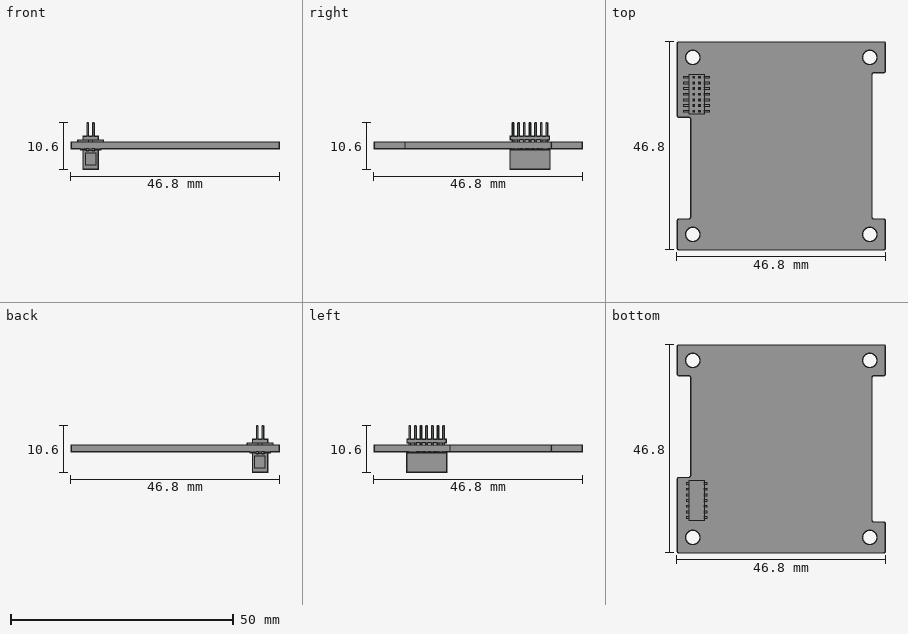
import cadquery as cq


overall_height = 10.55

board_side = 46.8
board_thickness = 1.6
corner_radius = 0.4
notch_depth = 3.0
tab_length = 6.95
connector_tab_length = 17.0
mount_hole_diameter = 3.2
mount_hole_spacing = 39.8

pin_row_length = 7.65
pins_per_row = 7
row_spacing = 1.25
pin_width = 0.4
connector_x = -19.05
connector_y = 11.6
body_width = 3.45

header_length = 8.9
header_gap = 0.4
header_height = 0.9
header_foot_span = 5.85
pin_top = 4.35
pin_tip_chamfer = 0.15

socket_length = 9.05
socket_gap = 0.2
channel_width = 1.83
channel_depth = 0.2
socket_foot_span = 4.6

core_width = 2.4
core_height = 2.6
core_floor = 1.05
core_shift = 0.05

peg_diameter = 1.05
peg_tip_diameter = 0.7
pitches_between_pegs = 5

pin_pitch = pin_row_length / (pins_per_row - 1)
peg_spacing = pitches_between_pegs * pin_pitch
half_side = board_side / 2
board_bottom = -board_thickness
socket_bottom = pin_top - overall_height
rail_top = board_bottom - socket_gap
channel_floor = rail_top - channel_depth
core_x = connector_x + core_shift
core_bottom = socket_bottom + core_floor
pin_ys = [connector_y + (i - (pins_per_row - 1) / 2) * pin_pitch for i in range(pins_per_row)]
peg_ys = [connector_y + side * peg_spacing / 2 for side in (-1, 1)]


def box(x_range, y_range, z_range):
    """Box between the given limits along each axis."""
    (x0, x1), (y0, y1), (z0, z1) = x_range, y_range, z_range
    return cq.Workplane("XY").box(x1 - x0, y1 - y0, z1 - z0, centered=False).translate((x0, y0, z0))


def about(centre, size):
    """Limits of a stretch of the given size around a centre."""
    return centre - size / 2, centre + size / 2


def make_board():
    """Square plate with a side notch left and right, four mounting holes and two peg holes."""
    z_range = (board_bottom, 0)
    lower_tab_y = -half_side + tab_length
    board = box((-half_side, half_side), (-half_side, half_side), z_range)
    left_notch = box(
        (-half_side, -half_side + notch_depth), (lower_tab_y, half_side - connector_tab_length), z_range
    )
    right_notch = box((half_side - notch_depth, half_side), (lower_tab_y, half_side - tab_length), z_range)
    board = board.cut(left_notch).cut(right_notch)
    board = board.edges("|Z").fillet(corner_radius)
    mount_holes = (
        cq.Workplane("XY")
        .rect(mount_hole_spacing, mount_hole_spacing, forConstruction=True)
        .vertices()
        .circle(mount_hole_diameter / 2)
        .extrude(board_bottom)
    )
    peg_holes = (
        cq.Workplane("XY")
        .pushPoints([(connector_x, y) for y in peg_ys])
        .circle(peg_diameter / 2)
        .extrude(board_bottom)
    )
    return board.cut(mount_holes).cut(peg_holes)


def make_header():
    """Header bar with two rows of upright pins, each bent outward into a foot on the board."""
    bar_top = header_gap + header_height
    header = box(
        about(connector_x, body_width), about(connector_y, header_length), (header_gap, bar_top)
    )
    for y in pin_ys:
        for side in (-1, 1):
            pin_x = connector_x + side * row_spacing / 2
            pin = box(about(pin_x, pin_width), about(y, pin_width), (bar_top, pin_top))
            pin = pin.faces(">Z").chamfer(pin_tip_chamfer)
            inner_x = pin_x - side * pin_width / 2
            outer_x = connector_x + side * header_foot_span / 2
            foot = box(sorted((inner_x, outer_x)), about(y, pin_width), (0, header_gap))
            header = header.union(pin).union(foot)
    return header


def make_core():
    """Rectangular core that fills the socket from end to end, flush with both ends."""
    z_range = (core_bottom, core_bottom + core_height)
    return box(about(core_x, core_width), about(connector_y, socket_length), z_range)


def make_socket():
    """Socket box bored for its core, with a channel along its top and feet on the rails beside it."""
    socket = box(
        about(connector_x, body_width), about(connector_y, socket_length), (socket_bottom, rail_top)
    )
    channel = box(
        about(connector_x, channel_width), about(connector_y, socket_length), (channel_floor, rail_top)
    )
    socket = socket.cut(channel).cut(make_core())
    for y in pin_ys:
        for side in (-1, 1):
            inner_x = connector_x + side * channel_width / 2
            outer_x = connector_x + side * socket_foot_span / 2
            foot = box(sorted((inner_x, outer_x)), about(y, pin_width), (rail_top, board_bottom))
            socket = socket.union(foot)
    return socket


def make_peg(y):
    """Stepped peg from the header through the board to the socket."""
    shank = (
        cq.Workplane("XY", origin=(connector_x, y, board_bottom))
        .circle(peg_diameter / 2)
        .extrude(header_gap - board_bottom)
    )
    tip = (
        cq.Workplane("XY", origin=(connector_x, y, channel_floor))
        .circle(peg_tip_diameter / 2)
        .extrude(board_bottom - channel_floor)
    )
    return shank.union(tip)


board = make_board()
header = make_header()
socket = make_socket()
core = make_core()
pegs = [make_peg(y) for y in peg_ys]

result = cq.Compound.makeCompound(
    [board.val(), header.val(), socket.val(), core.val(), *[peg.val() for peg in pegs]]
)